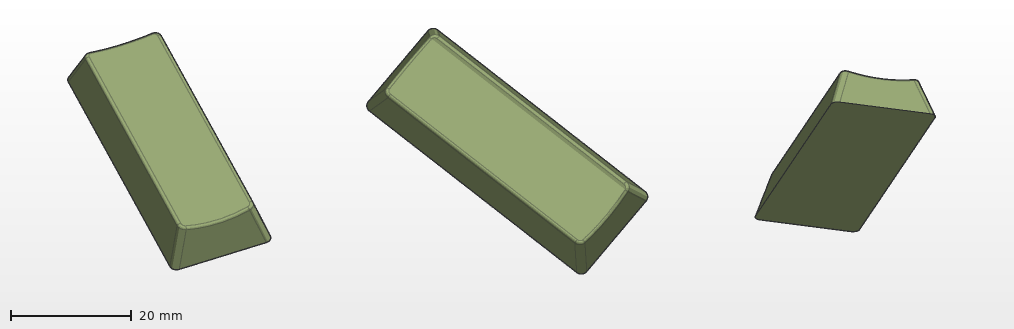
import cadquery as cq

base_length = 46.58
base_width = 18.0
wall_angle = 17.4
blank_height = 9.0
corner_radius = 1.25

dish_radius = 23.2
dish_floor_height = 6.5

rim_radius = 0.55


def make_body():
    """Solid block tapering upward, with rounded corner edges."""
    body = cq.Workplane("XY").rect(base_length, base_width).extrude(blank_height, taper=wall_angle)
    corner_edges = body.edges("not(#Z)")
    return corner_edges.fillet(corner_radius)


def make_dish_cutter():
    """Long cylinder along X whose underside forms the dish."""
    return (
        cq.Workplane("YZ")
        .center(0, dish_floor_height + dish_radius)
        .circle(dish_radius)
        .extrude(base_length / 2, both=True)
    )


def round_rim(part):
    """Round the closed rim around the dish."""
    rim_edges = cq.selectors.BoxSelector(
        (-base_length, -base_width, dish_floor_height - rim_radius),
        (base_length, base_width, blank_height),
    )
    return part.edges(rim_edges).fillet(rim_radius)


result = round_rim(make_body().cut(make_dish_cutter()))